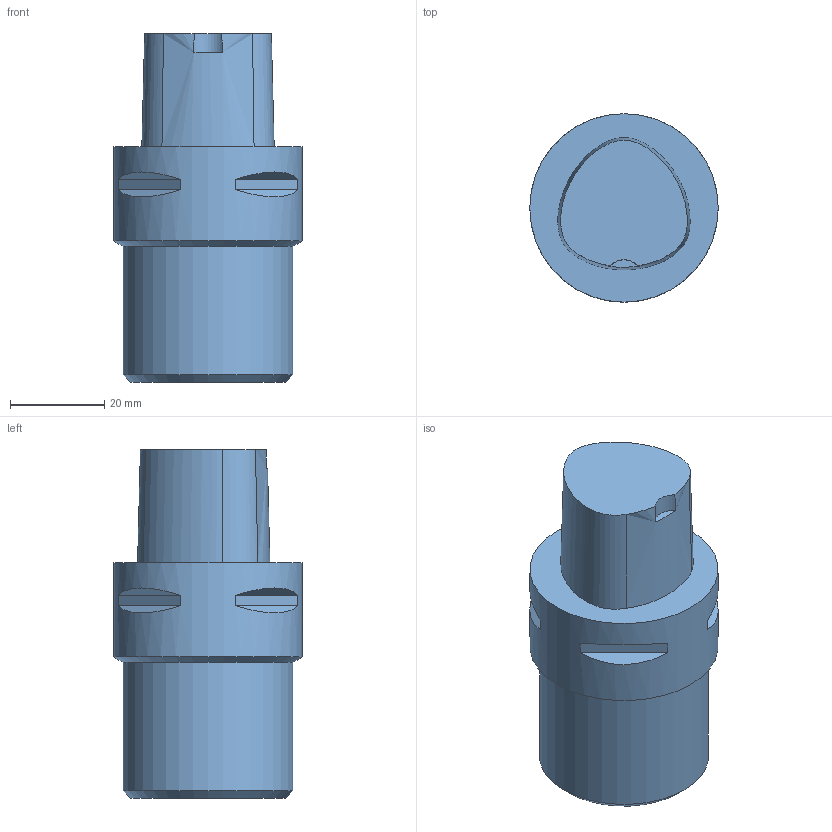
import cadquery as cq
import math

body_diameter = 36.0
body_radius = body_diameter / 2
foot_chamfer = 1.6
collar_diameter = 40.0
collar_radius = collar_diameter / 2
collar_bottom_z = 30.0
collar_height = 20.0
collar_top_z = collar_bottom_z + collar_height
collar_bevel_angle = 30.0
collar_bevel_height = (collar_radius - body_radius) * math.tan(math.radians(collar_bevel_angle))

shank_length = 24.0
shank_top_z = collar_top_z + shank_length
shank_gauge_diameter = 28.0
gauge_height = 2.0
shank_taper = 1 / 20
lobe_eccentricity = 0.9
lobe_count = 3
first_lobe_direction = 90.0
lobe_half_angle = 28.0
flank_half_angle = 180 / lobe_count - lobe_half_angle
points_per_curve = 9

notch_radius = 4.0
notch_depth = 4.0
notch_inner_y = -11.05

groove_count = 4
groove_first_angle = 45.0
groove_z = collar_top_z - 8.0
groove_floor_distance = 17.7
groove_floor_height = 2.3
groove_wall_angle = 33.0


def make_body():
    """Body, bevel and collar as one turned solid."""
    return (
        cq.Workplane("XZ")
        .lineTo(body_radius - foot_chamfer, 0)
        .lineTo(body_radius, foot_chamfer)
        .lineTo(body_radius, collar_bottom_z - collar_bevel_height)
        .lineTo(collar_radius, collar_bottom_z)
        .lineTo(collar_radius, collar_top_z)
        .lineTo(0, collar_top_z)
        .close()
        .revolve(360, (0, 0, 0), (0, 1, 0))
    )


def lobed_point(mean_diameter, normal_angle, z):
    """Point of the constant-width three-lobed curve whose outward normal has the given angle."""
    normal = math.radians(normal_angle)
    phase = lobe_count * (normal - math.radians(first_lobe_direction))
    reach = mean_diameter / 2 + lobe_eccentricity * math.cos(phase)
    shift = -lobe_count * lobe_eccentricity * math.sin(phase)
    x = reach * math.cos(normal) - shift * math.sin(normal)
    y = reach * math.sin(normal) + shift * math.cos(normal)
    return cq.Vector(x, y, z)


def lobed_curve(mean_diameter, start_angle, sweep, z):
    """One smooth stretch of the lobed outline."""
    step = sweep / (points_per_curve - 1)
    points = [lobed_point(mean_diameter, start_angle + i * step, z) for i in range(points_per_curve)]
    start_normal = math.radians(start_angle)
    end_normal = math.radians(start_angle + sweep)
    tangents = [cq.Vector(-math.sin(a), math.cos(a), 0) for a in (start_normal, end_normal)]
    return cq.Edge.makeSpline(points, tangents=tangents)


def lobed_outline(z):
    """Closed shank section at height z: each lobe is followed by a flatter flank."""
    mean_diameter = shank_gauge_diameter - shank_taper * (z - collar_top_z - gauge_height)
    curves = []
    for index in range(lobe_count):
        direction = first_lobe_direction + index * 360 / lobe_count
        lobe_start = direction - lobe_half_angle
        lobe_end = direction + lobe_half_angle
        curves.append(lobed_curve(mean_diameter, lobe_start, 2 * lobe_half_angle, z))
        curves.append(lobed_curve(mean_diameter, lobe_end, 2 * flank_half_angle, z))
    return cq.Wire.assembleEdges(curves)


def make_shank():
    sections = [lobed_outline(collar_top_z), lobed_outline(shank_top_z)]
    return cq.Workplane(cq.Solid.makeLoft(sections, True))


def make_notch():
    return (
        cq.Workplane("XY", origin=(0, notch_inner_y - notch_radius, shank_top_z - notch_depth))
        .circle(notch_radius)
        .extrude(notch_depth)
    )


def make_groove(angle):
    """Straight trapezoidal groove, widening outward, across the collar at the given angle."""
    groove_depth = collar_radius - groove_floor_distance
    half_floor = groove_floor_height / 2
    half_mouth = half_floor + groove_depth * math.tan(math.radians(groove_wall_angle))
    return (
        cq.Workplane("XZ")
        .moveTo(groove_floor_distance, groove_z - half_floor)
        .lineTo(collar_radius, groove_z - half_mouth)
        .lineTo(collar_radius, groove_z + half_mouth)
        .lineTo(groove_floor_distance, groove_z + half_floor)
        .close()
        .extrude(collar_radius, both=True)
        .rotate((0, 0, 0), (0, 0, 1), angle)
    )


result = make_body().union(make_shank()).cut(make_notch())
for index in range(groove_count):
    result = result.cut(make_groove(groove_first_angle + index * 360 / groove_count))